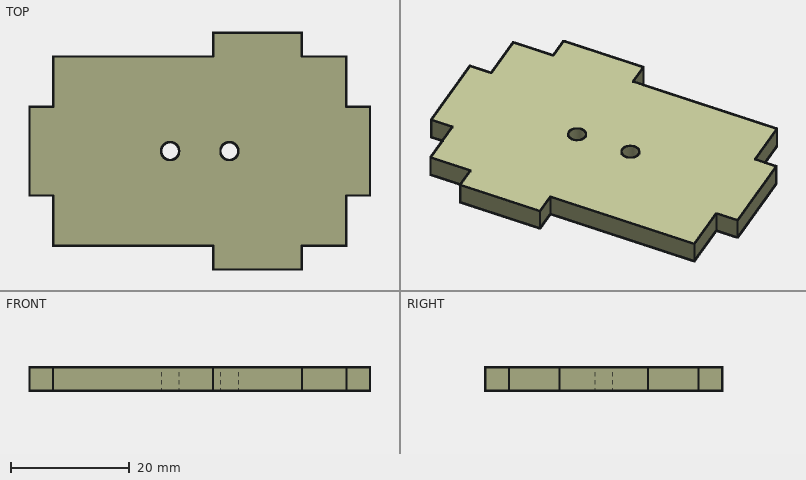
import cadquery as cq

thickness = 4.0
body_length = 49.5
body_width = 32.0

tab_width = 15.0
tab_projection = thickness
side_tab_end_gap = 7.5
side_tab_x = body_length / 2 - side_tab_end_gap - tab_width / 2

hole_diameter = 3.0
hole_spacing = 10.0


def make_slab(length, width, center_x=0.0):
    """Rectangular slab of plate thickness, centred at (center_x, 0)."""
    return (
        cq.Workplane("XY")
        .center(center_x, 0)
        .rect(length, width)
        .extrude(thickness)
    )


def add_tabs(plate):
    """Add opposite tabs by crossing the body with one bar in each direction."""
    end_tabs = make_slab(body_length + 2 * tab_projection, tab_width)
    side_tabs = make_slab(tab_width, body_width + 2 * tab_projection, side_tab_x)
    return plate.union(end_tabs).union(side_tabs).clean()


def cut_holes(plate):
    """Drill the two holes through the full thickness."""
    holes = (
        cq.Workplane("XY")
        .pushPoints([(-hole_spacing / 2, 0), (hole_spacing / 2, 0)])
        .circle(hole_diameter / 2)
        .extrude(thickness)
    )
    return plate.cut(holes)


body = make_slab(body_length, body_width)
result = cut_holes(add_tabs(body))